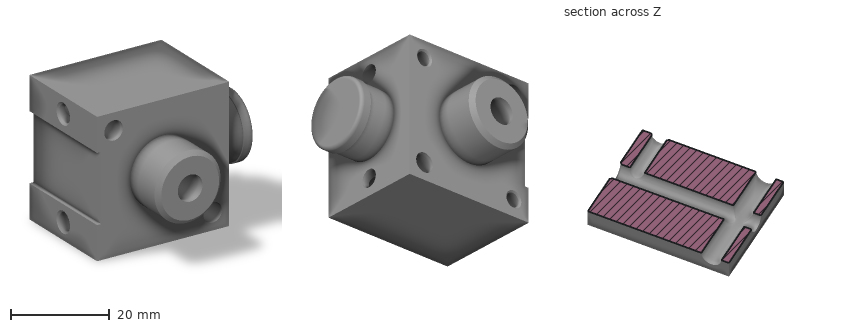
import cadquery as cq

block_x = 25.0
block_y = 32.0
block_z = 32.0

slot_width = 16.0
slot_depth = 1.0

stub_diameter = 16.0
stub_length = 10.0
stub_chamfer = 1.0
bore_diameter = 6.0

spigot_diameter = 15.36
spigot_length = 9.0
collar_diameter = 16.0
collar_length = 2.5
collar_rounding = 0.8

hole_offset = 12.0
clearance_diameter = 4.5
side_tapped_diameter = 3.24
side_countersink_diameter = 4.0
front_tapped_diameter = 4.13
front_countersink_diameter = 5.0

face_x = block_x / 2
face_y = block_y / 2
shaft_length = block_x + 2 * stub_length

along_x = (1, 0, 0)
along_y = (0, 1, 0)


def rod(start, direction, diameter, length):
    """Cylinder that begins at start and runs along direction."""
    return cq.Workplane(
        cq.Solid.makeCylinder(diameter / 2, length, cq.Vector(*start), cq.Vector(*direction))
    )


def countersunk_hole(start, direction, diameter, mouth_diameter, length):
    """Cutter for a hole with a 45 degree countersink at its mouth."""
    mouth_depth = (mouth_diameter - diameter) / 2
    mouth = cq.Solid.makeCone(
        mouth_diameter / 2, diameter / 2, mouth_depth, cq.Vector(*start), cq.Vector(*direction)
    )
    return rod(start, direction, diameter, length).union(cq.Workplane(mouth))


def make_block():
    slot_centre_y = -face_y + slot_depth / 2
    slot = cq.Workplane("XY").box(block_x, slot_depth, slot_width).translate((0, slot_centre_y, 0))
    return cq.Workplane("XY").box(block_x, block_y, block_z).cut(slot)


def make_stubs():
    """Both stubs as one shaft that passes through the block."""
    shaft = rod((-shaft_length / 2, 0, 0), along_x, stub_diameter, shaft_length)
    return shaft.faces("<X or >X").chamfer(stub_chamfer)


def make_spigot():
    collar_start = face_y + spigot_length - collar_length
    neck = rod((0, 0, 0), along_y, spigot_diameter, collar_start)
    collar = rod((0, collar_start, 0), along_y, collar_diameter, collar_length)
    return neck.union(collar.faces(">Y").edges().fillet(collar_rounding))


def cut_bore(body):
    return body.cut(rod((-shaft_length / 2, 0, 0), along_x, bore_diameter, shaft_length))


def cut_holes(body):
    for side in (-1, 1):
        offset = side * hole_offset

        body = body.cut(rod((-face_x, -offset, offset), along_x, clearance_diameter, block_x))

        body = body.cut(
            countersunk_hole(
                (0, -face_y, offset), along_y, front_tapped_diameter, front_countersink_diameter, block_y
            )
        )

        body = body.cut(
            countersunk_hole(
                (-face_x, offset, offset), along_x, side_tapped_diameter, side_countersink_diameter, face_x
            )
        )
    return body


result = make_block().union(make_stubs()).union(make_spigot())
result = cut_holes(cut_bore(result))